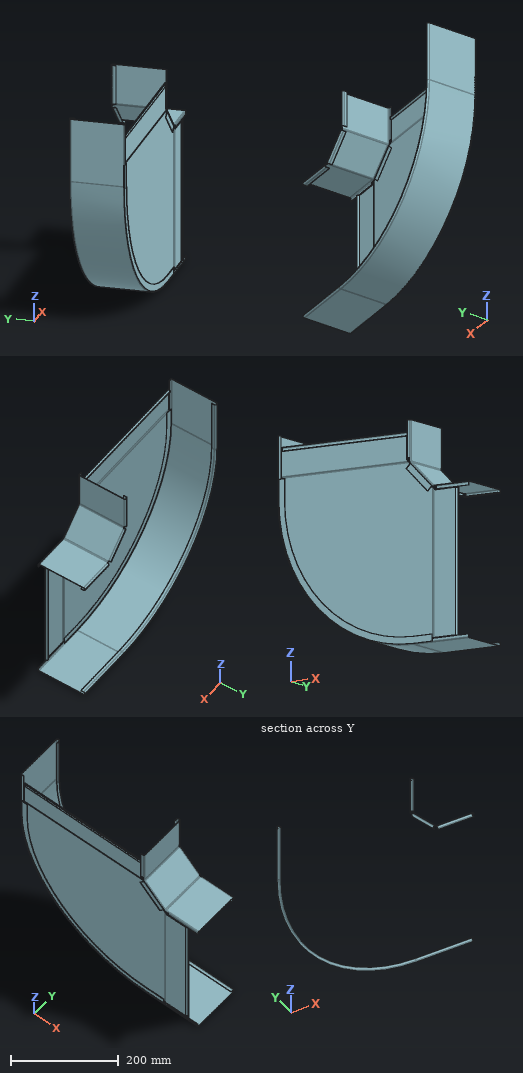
import cadquery as cq
import math

SIZE = 425.0
DEPTH = 107.0
SHEET = 1.0
FRONT = -DEPTH / 2
BACK = DEPTH / 2
SYMMETRY_NORMAL = (1, 0, -1)

HOOK_RADIUS = 4.0
HOOK_DEPTH = 9.8
HOOK_Y = BACK - HOOK_RADIUS

BEND_RADIUS = 301.5
QUARTER_TURN = 90
OUTER_FOLD = 1.5
OUTER_LIP = 7.2
OUTER_FLANGE = 15.5
FLANGE_END = 343.0

CORNER_NEAR = 296.2
CORNER_FAR = 346.0
INNER_FOLD = 2.5
INNER_LIP = 8.0
INNER_LIP_END = 353.0
INNER_HOOK_END = 348.5
TAB_WIDTH = 16.0
TAB_LENGTH = 67.0
CRANK_RADIUS = 2.5
CRANK_TURN = 45
CRANK_LIP = 3.0

PLATE_FRONT = FRONT + SHEET
PLATE_MARGIN = 2.0
DIAGONAL_MARGIN = 3.5
STRIP_START = 8.0
STRIP_STOP = 287.0
STRIP_CORNER = 293.0
JOGGLE_START = 344.2
JOGGLE_END = 347.0
STRIP_END = 402.5
CURL_RADIUS = 3.0


def with_mirror(half):
    """Combine a half with its mirror image across x = z."""
    return half.union(half.mirror(SYMMETRY_NORMAL))


def section_plane(inward, corner):
    """Plane across a wall: local x runs inward from the outside face, local y along Y."""
    direction = cq.Vector(*inward)
    return cq.Plane(corner, direction, direction.cross(cq.Vector(0, 1, 0)))


def web_section(plane, lip, fold):
    """Front lip, rounded fold and flat web, up to the hook."""
    outside_mid = fold * (1 - math.sqrt(0.5))
    inside_mid = fold - (fold - SHEET) * math.sqrt(0.5)
    return (
        cq.Workplane(plane)
        .moveTo(lip, FRONT)
        .lineTo(fold, FRONT)
        .threePointArc((outside_mid, FRONT + outside_mid), (0, FRONT + fold))
        .lineTo(0, HOOK_Y)
        .lineTo(SHEET, HOOK_Y)
        .lineTo(SHEET, FRONT + fold)
        .threePointArc((inside_mid, FRONT + inside_mid), (fold, FRONT + SHEET))
        .lineTo(lip, FRONT + SHEET)
        .close()
    )


def hook_section(plane):
    """Half-round roll at the back of the web, ending in a straight return."""
    width = 2 * HOOK_RADIUS
    return_end = BACK - HOOK_DEPTH
    return (
        cq.Workplane(plane)
        .moveTo(0, HOOK_Y)
        .threePointArc((HOOK_RADIUS, BACK), (width, HOOK_Y))
        .lineTo(width, return_end)
        .lineTo(width - SHEET, return_end)
        .lineTo(width - SHEET, HOOK_Y)
        .threePointArc((HOOK_RADIUS, BACK - SHEET), (SHEET, HOOK_Y))
        .close()
    )


def straight_wall(inward, corner, lip, fold, length):
    """Straight length of lipped and hooked wall."""
    plane = section_plane(inward, corner)
    return web_section(plane, lip, fold).extrude(length).union(hook_section(plane).extrude(length))


def make_outer_wall():
    """Quarter-circle wall with a wide front flange and narrow-lipped straight ends."""
    inward = (1, 0, 0)
    curve_plane = section_plane(inward, (0, 0, BEND_RADIUS))
    curve_axis = ((BEND_RADIUS, 4.2), (BEND_RADIUS, 0))
    curve = (
        web_section(curve_plane, OUTER_FLANGE, OUTER_FOLD)
        .revolve(QUARTER_TURN, *curve_axis)
        .union(hook_section(curve_plane).revolve(QUARTER_TURN, *curve_axis))
    )
    flanged = straight_wall(inward, (0, 0, BEND_RADIUS), OUTER_FLANGE, OUTER_FOLD, FLANGE_END - BEND_RADIUS)
    lipped = straight_wall(inward, (0, 0, FLANGE_END), OUTER_LIP, OUTER_FOLD, SIZE - FLANGE_END)
    return curve.union(with_mirror(flanged.union(lipped)))


def make_crank():
    """Web without a hook that turns from a straight end to the middle of the diagonal."""
    setback = CRANK_RADIUS * math.tan(math.radians(CRANK_TURN / 2))
    bend_top = CORNER_FAR + setback
    end_plane = section_plane((-1, 0, 0), (CORNER_NEAR, 0, INNER_LIP_END))
    bend_plane = section_plane((-1, 0, 0), (CORNER_NEAR, 0, bend_top))
    along = setback * math.sqrt(0.5)
    diagonal_plane = section_plane((-1, 0, -1), (CORNER_NEAR + along, 0, CORNER_FAR - along))
    half_diagonal = (CORNER_FAR - CORNER_NEAR) * math.sqrt(0.5)
    end = web_section(end_plane, CRANK_LIP, INNER_FOLD).extrude(INNER_LIP_END - bend_top)
    bend = web_section(bend_plane, CRANK_LIP, INNER_FOLD).revolve(
        CRANK_TURN, (-CRANK_RADIUS, 4.2), (-CRANK_RADIUS, 0)
    )
    diagonal = web_section(diagonal_plane, CRANK_LIP, INNER_FOLD).extrude(half_diagonal - setback)
    return end.union(bend).union(diagonal)


def make_inner_wall():
    """Two straight ends, the crank between them and a wide tab along the diagonal."""
    end_plane = section_plane((-1, 0, 0), (CORNER_NEAR, 0, SIZE))
    end = web_section(end_plane, INNER_LIP, INNER_FOLD).extrude(SIZE - INNER_LIP_END)
    end_hook = hook_section(end_plane).extrude(SIZE - INNER_HOOK_END)
    middle = (CORNER_NEAR + CORNER_FAR) / 2
    half_shift = TAB_LENGTH / 2 * math.sqrt(0.5)
    tab_corner = (middle - half_shift, 0, middle + half_shift)
    tab = straight_wall((-1, 0, -1), tab_corner, TAB_WIDTH, INNER_FOLD, TAB_LENGTH)
    return with_mirror(end.union(make_crank()).union(end_hook)).union(tab)


def make_end_strip():
    """Flush strip beyond the plate: a joggle forward and a half-round curl along its end."""
    strip_back = FRONT + SHEET
    plate_back = PLATE_FRONT + SHEET
    joggle_middle = (JOGGLE_START + JOGGLE_END) / 2
    curl_outside = CURL_RADIUS + SHEET
    curl_middle = STRIP_END - curl_outside
    curl_foot = curl_middle - math.sqrt(curl_outside**2 - SHEET**2)
    profile = (
        cq.Workplane("YZ")
        .moveTo(PLATE_FRONT, FLANGE_END)
        .lineTo(PLATE_FRONT, JOGGLE_START)
        .tangentArcPoint((strip_back - SHEET / 2, joggle_middle), relative=False)
        .tangentArcPoint((FRONT, JOGGLE_END), relative=False)
        .lineTo(FRONT, curl_middle - CURL_RADIUS)
        .threePointArc((FRONT + CURL_RADIUS, curl_middle), (FRONT, curl_middle + CURL_RADIUS))
        .lineTo(FRONT, STRIP_END)
        .threePointArc((FRONT + curl_outside, curl_middle), (strip_back, curl_foot))
        .lineTo(strip_back, JOGGLE_END)
        .tangentArcPoint((plate_back - SHEET / 2, joggle_middle), relative=False)
        .tangentArcPoint((plate_back, JOGGLE_START), relative=False)
        .lineTo(plate_back, FLANGE_END)
        .close()
        .extrude(STRIP_CORNER)
    )
    mitre = STRIP_CORNER - STRIP_STOP
    outline = (
        cq.Workplane("XZ", origin=(0, BACK, 0))
        .polyline([
            (STRIP_START, FLANGE_END),
            (STRIP_CORNER, FLANGE_END),
            (STRIP_CORNER, JOGGLE_START),
            (STRIP_STOP, JOGGLE_START + mitre),
            (STRIP_STOP, STRIP_END),
            (STRIP_START, STRIP_END),
        ])
        .close()
        .extrude(DEPTH)
    )
    return profile.intersect(outline)


def make_plate():
    """Flat panel behind the flanges, with a flush strip at each end."""
    arc_middle = BEND_RADIUS - (BEND_RADIUS - PLATE_MARGIN) * math.sqrt(0.5)
    diagonal_sum = CORNER_NEAR + CORNER_FAR - DIAGONAL_MARGIN * math.sqrt(2)
    diagonal_near = diagonal_sum - FLANGE_END
    panel = (
        cq.Workplane("XZ", origin=(0, PLATE_FRONT + SHEET, 0))
        .moveTo(PLATE_MARGIN, BEND_RADIUS)
        .lineTo(PLATE_MARGIN, FLANGE_END)
        .lineTo(diagonal_near, FLANGE_END)
        .lineTo(FLANGE_END, diagonal_near)
        .lineTo(FLANGE_END, PLATE_MARGIN)
        .lineTo(BEND_RADIUS, PLATE_MARGIN)
        .threePointArc((arc_middle, arc_middle), (PLATE_MARGIN, BEND_RADIUS))
        .close()
        .extrude(SHEET)
    )
    return panel.union(with_mirror(make_end_strip()))


plate = make_plate()
outer_wall = make_outer_wall()
inner_wall = make_inner_wall()

result = cq.Compound.makeCompound([plate.val(), outer_wall.val(), inner_wall.val()])